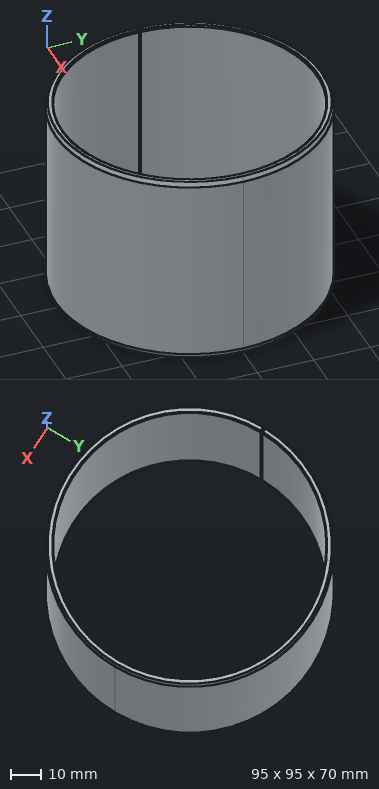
import cadquery as cq

outer_diameter = 95.0
wall = 2.5
height = 70.0
outer_chamfer_length = 1.8
outer_chamfer_depth = 0.7
inner_chamfer_length = 0.7
inner_chamfer_depth = 0.3
slit_width = 0.8

outer_radius = outer_diameter / 2
inner_radius = outer_radius - wall
half_height = height / 2

wall_section = (
    cq.Workplane("XZ")
    .moveTo(inner_radius, half_height - inner_chamfer_length)
    .lineTo(inner_radius + inner_chamfer_depth, half_height)
    .lineTo(outer_radius - outer_chamfer_depth, half_height)
    .lineTo(outer_radius, half_height - outer_chamfer_length)
    .lineTo(outer_radius, outer_chamfer_length - half_height)
    .lineTo(outer_radius - outer_chamfer_depth, -half_height)
    .lineTo(inner_radius + inner_chamfer_depth, -half_height)
    .lineTo(inner_radius, inner_chamfer_length - half_height)
    .close()
)
sleeve = wall_section.revolve(360, (0, 0, 0), (0, 1, 0))

slit = (
    cq.Workplane("XY")
    .box(outer_radius, slit_width, height)
    .translate((-outer_radius, slit_width / 2, 0))
)

result = sleeve.cut(slit)